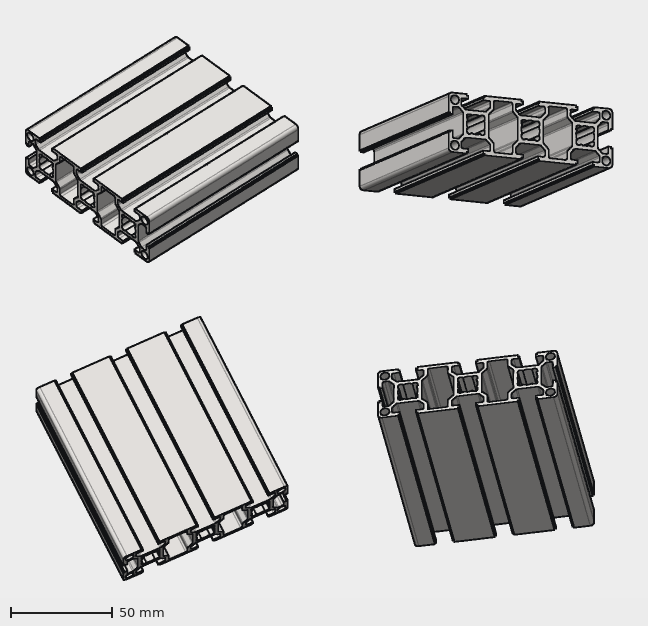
import cadquery as cq

pitch = 30.0
cell_count = 3
length = 100.0
width = cell_count * pitch
height = pitch
corner_radius = 2.0

slot_half_opening = 4.1
slot_half_width = 8.0
lip_thickness = 2.3
lip_step_width = 0.8
lip_step_depth = 0.8
core_half = 7.0
slot_bottom_chamfer = 2.5
slot_corner_radius = 1.0

chamber_half_width = 5.1
chamber_half_height = 13.1
chamber_corner_radius = 1.0
chamber_narrow_height = 5.7
chamber_flare = pitch / 2 - core_half - chamber_half_width

bore_diameter = 10.0
lobe_diameter = 3.0
lobe_offset = 3.5

corner_hole_diameter = 4.5
corner_hole_inset = 3.5

cell_centers = [(i - (cell_count - 1) / 2) * pitch for i in range(cell_count)]
chamber_centers = [(a + b) / 2 for a, b in zip(cell_centers, cell_centers[1:])]


def section():
    """Sketch plane at the +Y end; extruding by the length reaches the -Y end."""
    return cq.Workplane("XZ", origin=(0, length / 2, 0))


def mirrored_outline(right_side):
    """Close a half outline by mirroring it about the vertical centre line."""
    left_side = [(-x, z) for x, z in reversed(right_side)]
    return section().polyline(right_side + left_side).close().extrude(length)


def slot_cutter():
    """T-slot opening upwards in a cell centred on the origin."""
    top = height / 2
    step_half = slot_half_opening + lip_step_width
    step_floor = top - lip_step_depth
    lip_bottom = top - lip_thickness
    opening = mirrored_outline([
        (step_half, top),
        (step_half, step_floor),
        (slot_half_opening, step_floor),
        (slot_half_opening, core_half),
    ])
    undercut = mirrored_outline([
        (slot_half_width, lip_bottom),
        (slot_half_width, core_half + slot_bottom_chamfer),
        (slot_half_width - slot_bottom_chamfer, core_half),
    ])
    return opening.union(undercut.edges("|Y").fillet(slot_corner_radius))


def chamber_cutter():
    """Chamber that is wide between the cores and narrower towards the outer walls."""
    waist_half_width = pitch / 2 - core_half
    shoulder_height = chamber_narrow_height + chamber_flare
    upper = [
        (chamber_half_width, chamber_half_height),
        (chamber_half_width, shoulder_height),
        (waist_half_width, chamber_narrow_height),
    ]
    lower = [(x, -z) for x, z in reversed(upper)]
    return mirrored_outline(upper + lower).edges("|Y").fillet(chamber_corner_radius)


def core_bore_cutter():
    """Main bore with a round lobe in each corner of the core."""
    bore = section().circle(bore_diameter / 2).extrude(length)
    lobes = (
        section()
        .rect(2 * lobe_offset, 2 * lobe_offset, forConstruction=True)
        .vertices()
        .circle(lobe_diameter / 2)
        .extrude(length)
    )
    return bore.union(lobes)


def corner_holes_cutter():
    """Lengthwise holes in the four outer corners of the profile."""
    return (
        section()
        .rect(width - 2 * corner_hole_inset, height - 2 * corner_hole_inset, forConstruction=True)
        .vertices()
        .circle(corner_hole_diameter / 2)
        .extrude(length)
    )


def turned(shape, angle):
    """Turn a shape about the Y axis."""
    return shape.rotate((0, 0, 0), (0, 1, 0), angle)


result = cq.Workplane("XY").box(width, length, height).edges("|Y").fillet(corner_radius)

for x in cell_centers:
    result = result.cut(slot_cutter().translate((x, 0, 0)))
    result = result.cut(turned(slot_cutter(), 180).translate((x, 0, 0)))
    result = result.cut(core_bore_cutter().translate((x, 0, 0)))

result = result.cut(turned(slot_cutter(), -90).translate((cell_centers[0], 0, 0)))
result = result.cut(turned(slot_cutter(), 90).translate((cell_centers[-1], 0, 0)))

for x in chamber_centers:
    result = result.cut(chamber_cutter().translate((x, 0, 0)))

result = result.cut(corner_holes_cutter())